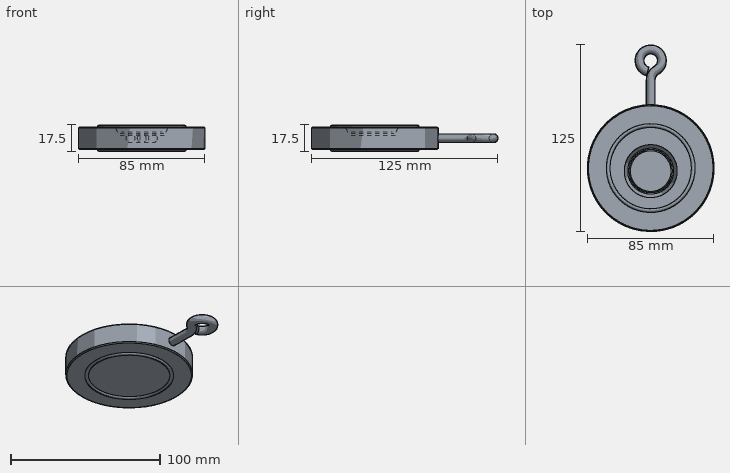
import cadquery as cq
import math

body_diameter = 85.0
body_thickness = 15.0
body_chamfer = 0.7
overall_thickness = 17.5

ring_outer_diameter = 59.5
ring_section_diameter = 2.5

recess_offset_y = -2.0
mouth_diameter = 35.5
floor_diameter = 30.7
recess_depth = 5.5
flap_diameter = 29.0
flap_chamfer = 0.9
flap_drop = 3.4

overall_length = 125.0
bar_diameter = 6.0
eye_outer_diameter = 21.0
eye_end_angle = 255.0

body_radius = body_diameter / 2
face_z = body_thickness / 2


def make_body():
    return (
        cq.Workplane("XY")
        .circle(body_radius)
        .extrude(body_thickness)
        .translate((0, 0, -face_z))
        .edges()
        .chamfer(body_chamfer)
    )


def make_sealing_ring(side):
    """Torus whose crown reaches the overall thickness on the given side (+1 or -1)."""
    section_radius = ring_section_diameter / 2
    center_z = side * (overall_thickness / 2 - section_radius)
    center_radius = ring_outer_diameter / 2 - section_radius
    return cq.Workplane("XZ").center(center_radius, center_z).circle(section_radius).revolve(
        360, (-center_radius, 0), (-center_radius, 1)
    )


def make_recess():
    """Tapered cavity with the flap left standing on its floor."""
    floor_z = face_z - recess_depth
    cavity = (
        cq.Workplane("XZ")
        .moveTo(0, face_z)
        .lineTo(mouth_diameter / 2, face_z)
        .lineTo(floor_diameter / 2, floor_z)
        .lineTo(0, floor_z)
        .close()
        .revolve(360, (0, 0), (0, 1))
    )
    flap = (
        cq.Workplane("XY", origin=(0, 0, floor_z))
        .circle(flap_diameter / 2)
        .extrude(recess_depth - flap_drop)
        .faces(">Z")
        .chamfer(flap_chamfer)
    )
    return cavity.cut(flap).translate((0, recess_offset_y, 0))


def make_eye_bolt():
    """Straight shank, reverse bend tangent to the eye, and an open eye."""
    eye_radius = (eye_outer_diameter - bar_diameter) / 2
    bend_radius = eye_radius
    eye_y = overall_length - body_radius - eye_outer_diameter / 2
    center_distance = eye_radius + bend_radius
    bend_y = eye_y - math.sqrt(center_distance**2 - bend_radius**2)
    bend_angle = math.degrees(math.acos(bend_radius / center_distance))
    shank_start_y = body_radius - bar_diameter

    def eye_point(angle):
        radians = math.radians(angle)
        return eye_radius * math.cos(radians), eye_y + eye_radius * math.sin(radians)

    def bend_point(angle):
        radians = math.radians(angle)
        return bend_radius * (1 - math.cos(radians)), bend_y + bend_radius * math.sin(radians)

    eye_start_angle = -bend_angle
    eye_middle_angle = (eye_start_angle + eye_end_angle) / 2
    shank_and_bend = (
        cq.Workplane("XY")
        .moveTo(0, shank_start_y)
        .lineTo(0, bend_y)
        .threePointArc(bend_point(bend_angle / 2), bend_point(bend_angle))
    )
    eye = (
        cq.Workplane("XY")
        .moveTo(*eye_point(eye_start_angle))
        .threePointArc(eye_point(eye_middle_angle), eye_point(eye_end_angle))
    )
    stem = (
        cq.Workplane("XZ", origin=(0, shank_start_y, 0))
        .circle(bar_diameter / 2)
        .sweep(shank_and_bend)
    )
    start_x, start_y = eye_point(eye_start_angle)
    tangent = (-math.sin(math.radians(eye_start_angle)), math.cos(math.radians(eye_start_angle)), 0)
    eye_plane = cq.Plane(origin=(start_x, start_y, 0), xDir=(0, 0, 1), normal=tangent)
    loop = cq.Workplane(eye_plane).circle(bar_diameter / 2).sweep(eye)
    return stem.union(loop)


result = make_body().cut(make_recess())
for side in (1, -1):
    result = result.union(make_sealing_ring(side))
result = result.union(make_eye_bolt())